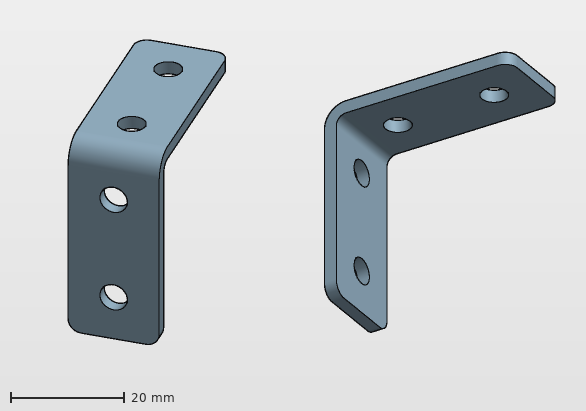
import cadquery as cq

width = 17.0
leg_length = 38.5
thickness = 2.5
inner_bend_radius = 2.0
corner_radius = 2.5
hole_diameter = 5.1
first_hole_offset = 10.0
hole_pitch = 20.0

outer_bend_radius = inner_bend_radius + thickness
hole_offsets = [first_hole_offset, first_hole_offset + hole_pitch]


def bent_strip():
    """L-shaped strip: one leg along +Y, one along -Z, outer bend corner at Y = Z = 0."""
    profile = (
        cq.Workplane("YZ")
        .moveTo(0, -leg_length)
        .lineTo(0, -outer_bend_radius)
        .radiusArc((outer_bend_radius, 0), outer_bend_radius)
        .lineTo(leg_length, 0)
        .lineTo(leg_length, -thickness)
        .lineTo(outer_bend_radius, -thickness)
        .radiusArc((thickness, -outer_bend_radius), -inner_bend_radius)
        .lineTo(thickness, -leg_length)
        .close()
    )
    return profile.extrude(width / 2, both=True)


def round_leg_ends(strip):
    """Round the two free corners of each leg."""
    horizontal_leg_rounded = strip.faces(">Y").edges("|Z").fillet(corner_radius)
    return horizontal_leg_rounded.faces("<Z").edges("|Y").fillet(corner_radius)


def horizontal_leg_holes():
    """Cutters along Z through the horizontal leg."""
    centers = [(0, offset) for offset in hole_offsets]
    return cq.Workplane("XY").pushPoints(centers).circle(hole_diameter / 2).extrude(-thickness)


def vertical_leg_holes():
    """Cutters along Y through the vertical leg."""
    centers = [(0, -offset) for offset in hole_offsets]
    return cq.Workplane("XZ").pushPoints(centers).circle(hole_diameter / 2).extrude(-thickness)


bracket = round_leg_ends(bent_strip())
result = bracket.cut(horizontal_leg_holes()).cut(vertical_leg_holes())